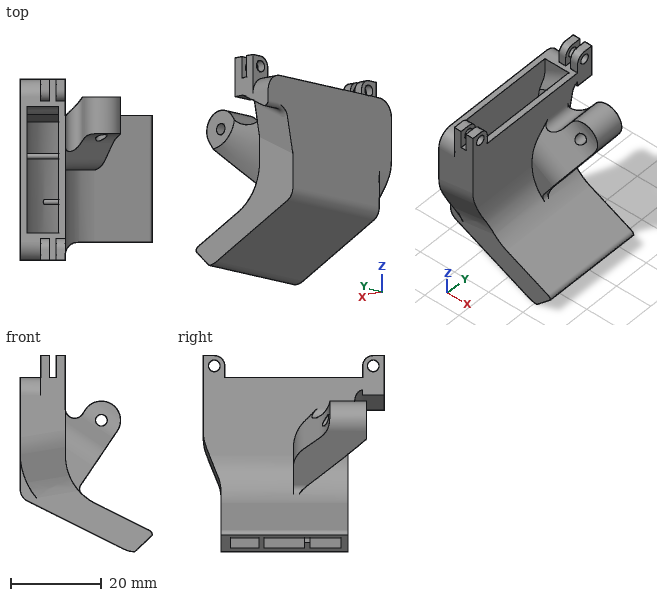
import cadquery as cq
import math

head_depth = 10.0
head_width = 40.0
head_top = 38.55
head_corner_radius = 3.95
wall = 1.5

body_front = 3.95
body_back = 32.0
tail_angle = 26.5
tail_end_x = 29.2
tail_lip_radius = 1.15
tail_heel_radius = 5.2
outer_corner_z = 12.0
outer_corner_radius = 3.0

inner_bend_radius = 11.7
inner_bend_z = 21.25
outer_bend_radius = 15.6
outer_bend_z = 21.9

front_shoulder_rise = 0.168
front_shoulder_angle = 21.0
front_shoulder_top = 25.2
front_straight_top = 21.4
front_straight_bottom = 14.95
front_shoulder_bottom = 11.1

wing_rise = 0.52
wing_round_z = 32.25
wing_round_radius = 1.0
back_slope_bottom = 21.5
back_slope = 0.216
back_blend_radius = 2.1

pocket_front = 6.05
pocket_back = 34.0
pocket_curve_start_z = 34.1
pocket_curve_middle = (33.08, 31.25)
pocket_curve_end = (32.15, 29.8)
pocket_slope_end = (30.8, 23.85)
pocket_narrow_z = 21.25

vane_thickness = 1.15
long_vane_y = 22.98
short_vane_y = 12.87
short_vane_start_x = 5.85
short_vane_start_z = 12.22
short_vane_angle = 29.0

lug_start_x = 4.55
lug_width = 4.8
lug_top = 43.35
lug_corner_radius = 2.35
lug_hole_from_side = 2.45
lug_hole_from_top = 2.3
lug_slot_start = 6.55
lug_slot_end = 7.95
hole_diameter = 2.5

arm_angle = 56.0
arm_hole_x = 17.95
arm_hole_z = 29.05
arm_radius = 4.25
arm_back = 36.05
arm_cup_radius = 2.05
arm_root_fillet = 1.5

arm_front = 27.95
arm_front_end = 2.95
arm_slope_start = (-1.78, 25.8)
arm_slope_end = (-4.75, 22.2)
arm_root_front = 19.9
arm_root_start = -9.45

bevel_axis_x = 20.6
bevel_axis_z = 31.78
bevel_radius = 6.9
bevel_growth = 0.9

reach = 52.0

full_turn = 90 - tail_angle
half_turn = full_turn / 2
tail_sin = math.sin(math.radians(tail_angle))
tail_cos = math.cos(math.radians(tail_angle))
tail_slope = tail_sin / tail_cos


def bend_point(start_x, start_z, radius, turned):
    """Point on a bend that starts straight down and turns towards +X by `turned` degrees."""
    angle = math.radians(turned)
    return (start_x + radius * (1 - math.cos(angle)), start_z - radius * math.sin(angle))


def extrude_y(outline, y_start, y_end):
    """Extrude an outline drawn on the XZ plane between two Y positions."""
    return outline.extrude(y_start - y_end).translate((0, y_start, 0))


def oblique_prism(outline, rise):
    """Sweep an outline on the plane X = 0 through the head, climbing by `rise` per unit of X."""
    sweep = cq.Vector(1, 0, rise) * (2 * head_depth)
    return cq.Workplane(obj=cq.Solid.extrudeLinear(outline.val(), [], sweep))


def body():
    """Upright wall, inner bend, tail and rounded outer corner, between the shoulders."""
    bend_middle = bend_point(head_depth, inner_bend_z, inner_bend_radius, half_turn)
    bend_end = bend_point(head_depth, inner_bend_z, inner_bend_radius, full_turn)

    lip_start_x = tail_end_x - tail_lip_radius * (1 - tail_sin)
    lip_start_z = bend_end[1] - tail_slope * (lip_start_x - bend_end[0])
    lip_end_z = lip_start_z - tail_lip_radius * tail_cos

    heel_corner_x = outer_corner_z / tail_slope
    heel_tangent = tail_heel_radius * math.tan(math.radians(tail_angle / 2))
    heel_start = (heel_corner_x - heel_tangent * tail_cos, heel_tangent * tail_sin)

    corner_tangent = outer_corner_radius * math.tan(math.radians(half_turn))
    corner_start = (corner_tangent * tail_cos, outer_corner_z - corner_tangent * tail_sin)
    corner_end = (0, outer_corner_z + corner_tangent)

    outline = (
        cq.Workplane("XZ")
        .moveTo(0, head_top)
        .lineTo(head_depth, head_top)
        .lineTo(head_depth, inner_bend_z)
        .threePointArc(bend_middle, bend_end)
        .lineTo(lip_start_x, lip_start_z)
        .tangentArcPoint((tail_end_x, lip_end_z), relative=False)
        .lineTo(heel_corner_x + heel_tangent, 0)
        .radiusArc(heel_start, tail_heel_radius)
        .lineTo(*corner_start)
        .radiusArc(corner_end, outer_corner_radius)
        .close()
    )
    return extrude_y(outline, body_front, body_back)


def duct_outline(inset, tail_length, top):
    """Side outline of the bent duct, with both walls moved inwards by `inset`."""
    inner_x = head_depth - inset
    inner_radius = inner_bend_radius + inset
    outer_radius = outer_bend_radius - inset
    inner_middle = bend_point(inner_x, inner_bend_z, inner_radius, half_turn)
    inner_end = bend_point(inner_x, inner_bend_z, inner_radius, full_turn)
    outer_middle = bend_point(inset, outer_bend_z, outer_radius, half_turn)
    outer_end = bend_point(inset, outer_bend_z, outer_radius, full_turn)
    run_x = tail_length * tail_cos
    run_z = -tail_length * tail_sin
    return (
        cq.Workplane("XZ")
        .moveTo(inset, top)
        .lineTo(inner_x, top)
        .lineTo(inner_x, inner_bend_z)
        .threePointArc(inner_middle, inner_end)
        .line(run_x, run_z)
        .lineTo(outer_end[0] + run_x, outer_end[1] + run_z)
        .lineTo(*outer_end)
        .threePointArc(outer_middle, (inset, outer_bend_z))
        .close()
    )


def shoulder_blank(y_start, y_end):
    """Slab of the bent duct without its tail, from which a shoulder is cut."""
    return extrude_y(duct_outline(0, wall, head_top), y_start, y_end)


def front_shoulder():
    """The head narrows to the body in an S-shaped slope that climbs towards the back wall."""
    bulge = math.tan(math.radians(front_shoulder_angle / 2))
    straight_start_y = (front_shoulder_top - front_straight_top) * bulge
    straight_end_y = body_front - (front_straight_bottom - front_shoulder_bottom) * bulge
    outline = (
        cq.Workplane("YZ")
        .moveTo(0, reach)
        .lineTo(0, front_shoulder_top)
        .tangentArcPoint((straight_start_y, front_straight_top), relative=False)
        .lineTo(straight_end_y, front_straight_bottom)
        .tangentArcPoint((body_front, front_shoulder_bottom), relative=False)
        .lineTo(pocket_front, front_shoulder_bottom)
        .lineTo(pocket_front, reach)
        .close()
    )
    return shoulder_blank(0, pocket_front).intersect(oblique_prism(outline, front_shoulder_rise))


def back_shoulder():
    """Wing with a rounded lower edge and climbing underside, blended into a steep slope."""
    inner_y = body_back - wall
    climb = math.atan(wing_rise)
    round_end_x = wing_round_radius * (1 + math.sin(climb))
    round_end_z = wing_round_z - wing_round_radius * math.cos(climb)
    wing_outline = (
        cq.Workplane("XZ")
        .moveTo(0, head_top)
        .lineTo(0, wing_round_z)
        .tangentArcPoint((round_end_x, round_end_z), relative=False)
        .lineTo(head_depth, round_end_z + wing_rise * (head_depth - round_end_x))
        .lineTo(head_depth, head_top)
        .close()
    )
    wing = extrude_y(wing_outline, inner_y, head_width)

    slope_top = wing_round_z + wing_round_radius
    slope_outline = (
        cq.Workplane("YZ")
        .moveTo(inner_y, slope_top)
        .lineTo(inner_y, back_slope_bottom)
        .lineTo(body_back, back_slope_bottom)
        .lineTo(body_back + back_slope * (slope_top - back_slope_bottom), slope_top)
        .close()
    )
    blank = shoulder_blank(inner_y, head_width)
    shoulder = blank.intersect(oblique_prism(slope_outline, wing_rise)).union(wing)

    edge_y = body_back + back_slope * (round_end_z - wing_rise * round_end_x - back_slope_bottom)
    edge_middle_x = (round_end_x + head_depth) / 2
    edge_middle_z = round_end_z + wing_rise * (edge_middle_x - round_end_x)
    concave_edge = cq.selectors.NearestToPointSelector((edge_middle_x, edge_y, edge_middle_z))
    return shoulder.edges(concave_edge).fillet(back_blend_radius)


def duct_hollow():
    """Hollow of the duct, open at the top and at the tail; it narrows along the back shoulder."""
    narrow_back = body_back - wall
    outline = (
        cq.Workplane("YZ")
        .moveTo(pocket_front, reach)
        .lineTo(pocket_back, reach)
        .lineTo(pocket_back, pocket_curve_start_z)
        .tangentArcPoint(pocket_curve_middle, relative=False)
        .tangentArcPoint(pocket_curve_end, relative=False)
        .lineTo(*pocket_slope_end)
        .tangentArcPoint((narrow_back, pocket_narrow_z), relative=False)
        .lineTo(pocket_front, pocket_narrow_z)
        .close()
    )
    head_part = extrude_y(duct_outline(wall, wall, reach), pocket_front, pocket_back)
    head_part = head_part.intersect(oblique_prism(outline, wing_rise))
    through_part = extrude_y(duct_outline(wall, reach, reach), pocket_front, narrow_back)
    return head_part.union(through_part)


def vane(y, edge_x, edge_z, edge_angle):
    """Dividing wall below a rounded leading edge that rises at `edge_angle` towards +X."""
    blade = cq.Workplane("XY").box(reach, vane_thickness, reach).translate((0, 0, -reach / 2))
    rounding = cq.Workplane("YZ").circle(vane_thickness / 2).extrude(reach / 2, both=True)
    turned = blade.union(rounding).rotate((0, 0, 0), (0, 1, 0), -edge_angle)
    return turned.translate((edge_x, y, edge_z))


def lug():
    """Hinge lug at the front side, with a rounded inner corner, a cross hole and a slot."""
    lug_bottom = head_top - head_corner_radius
    block = (
        cq.Workplane("XY")
        .box(head_depth - lug_start_x, lug_width, lug_top - lug_bottom, centered=False)
        .translate((lug_start_x, 0, lug_bottom))
        .edges("|X and >Y and >Z")
        .fillet(lug_corner_radius)
    )
    hole = (
        cq.Workplane("YZ")
        .center(lug_hole_from_side, lug_top - lug_hole_from_top)
        .circle(hole_diameter / 2)
        .extrude(reach)
    )
    slot = (
        cq.Workplane("XY")
        .box(lug_slot_end - lug_slot_start, lug_width, lug_top - head_top, centered=False)
        .translate((lug_slot_start, 0, head_top))
    )
    return block.cut(hole).cut(slot)


def xz(point):
    return (point.x, point.z)


def arm():
    """Leaning arm with a round tip and a cross hole, blended into the back wall and the bend."""
    lean = math.radians(arm_angle)
    along = cq.Vector(math.cos(lean), 0, math.sin(lean))
    across = cq.Vector(-math.sin(lean), 0, math.cos(lean))
    tip = cq.Vector(arm_hole_x, 0, arm_hole_z)
    upper = tip + across * arm_radius
    lower = tip - across * arm_radius

    cup_x = head_depth + arm_cup_radius
    cup_line = upper + across * arm_cup_radius
    cup_z = cup_line.z + (cup_x - cup_line.x) * math.tan(lean)
    cup_end = cq.Vector(cup_x, 0, cup_z) - across * arm_cup_radius

    bend_centre = cq.Vector(head_depth + inner_bend_radius, 0, inner_bend_z)
    centre_distance = inner_bend_radius - arm_root_fillet
    sideways = (tip - bend_centre).dot(across) - arm_radius - arm_root_fillet
    lengthways = math.sqrt(centre_distance**2 - sideways**2)
    root = bend_centre + across * sideways - along * lengthways
    outward = (root - bend_centre).normalized()
    root_start = root + across * arm_root_fillet
    root_middle = root + (across + outward).normalized() * arm_root_fillet
    root_end = root + outward * arm_root_fillet

    buried = wall / 2
    buried_x = head_depth - buried
    root_buried = root_end + outward * buried
    halfway = (outward - cq.Vector(1, 0, 0)).normalized()
    buried_middle = bend_centre + halfway * (inner_bend_radius + buried)
    outline = (
        cq.Workplane("XZ")
        .moveTo(buried_x, cup_z)
        .lineTo(head_depth, cup_z)
        .threePointArc((cup_x, cup_z - arm_cup_radius), xz(cup_end))
        .lineTo(*xz(upper))
        .threePointArc(xz(tip + along * arm_radius), xz(lower))
        .lineTo(*xz(root_start))
        .threePointArc(xz(root_middle), xz(root_end))
        .lineTo(*xz(root_buried))
        .threePointArc(xz(buried_middle), (buried_x, inner_bend_z))
        .close()
    )
    blank = extrude_y(outline, arm_root_front, arm_back)

    front_plane = cq.Plane(origin=tip.toTuple(), xDir=along.toTuple(), normal=across.toTuple())
    front_shape = (
        cq.Workplane(front_plane)
        .moveTo(reach, arm_back)
        .lineTo(reach, arm_front)
        .lineTo(arm_front_end, arm_front)
        .tangentArcPoint(arm_slope_start, relative=False)
        .lineTo(*arm_slope_end)
        .tangentArcPoint((arm_root_start, arm_root_front), relative=False)
        .lineTo(-reach, arm_root_front)
        .lineTo(-reach, arm_back)
        .close()
        .extrude(reach, both=True)
    )

    bevel_depth = arm_back - arm_root_front
    bevel = cq.Solid.makeCone(
        bevel_radius + bevel_growth * bevel_depth,
        bevel_radius,
        bevel_depth,
        pnt=cq.Vector(bevel_axis_x, arm_root_front, bevel_axis_z),
        dir=cq.Vector(0, 1, 0),
    )
    hole_outline = cq.Workplane("XZ").center(*xz(tip)).circle(hole_diameter / 2)
    hole = extrude_y(hole_outline, 0, reach)
    return blank.intersect(front_shape).intersect(cq.Workplane(obj=bevel)).cut(hole)


def corner_trim():
    """Slab over the whole part below the lugs, with the head's rounded upper corners."""
    return (
        cq.Workplane("XY")
        .box(reach, head_width, head_top, centered=False)
        .edges("|X and >Z")
        .fillet(head_corner_radius)
    )


bent_body = body()
hollow = duct_hollow()
duct = bent_body.union(front_shoulder()).union(back_shoulder())
duct = duct.intersect(corner_trim()).union(arm()).cut(hollow)

vanes = vane(long_vane_y, wall, inner_bend_z, 0).union(
    vane(short_vane_y, short_vane_start_x, short_vane_start_z, short_vane_angle)
)
duct = duct.union(vanes.intersect(hollow).intersect(bent_body))

front_lug = lug()
back_lug = front_lug.mirror("XZ", (0, head_width / 2, 0))
result = duct.union(front_lug).union(back_lug)